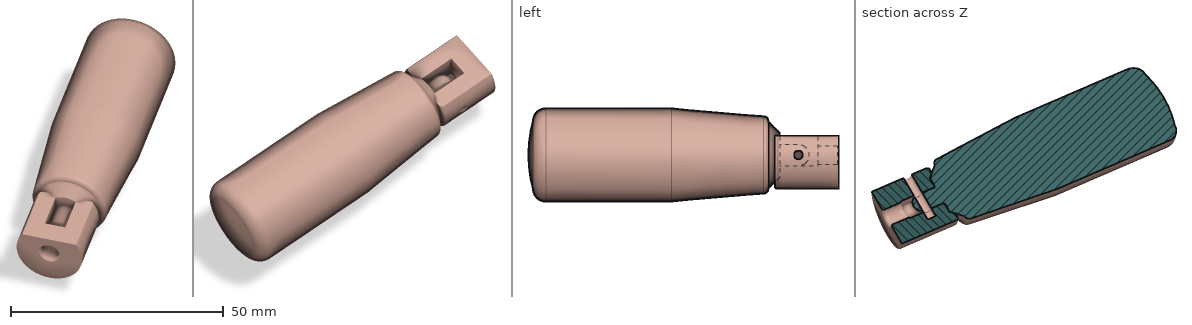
import cadquery as cq
import math

grip_diameter = 22.0
grip_radius = grip_diameter / 2
overall_length = 73.0
dome_edge_radius = 7.95
dome_height = 1.1
shoulder_y = 68.85
taper_start_y = 39.4
rim_y = 16.5
rim_rounding = 1.3
cone_tip_y = 13.9
cone_tip_radius = 5.2
cone_base_radius = cone_tip_radius + rim_y - cone_tip_y
stem_radius = 2.5
pivot_y = 9.5

bracket_diameter = 16.0
bracket_radius = bracket_diameter / 2
bracket_length = 15.05
bracket_fillet = 0.65
flat_z = 4.5
slot_end_y = 5.0
slot_width = 2 * stem_radius
bore_radius = 2.2
bore_chamfer = 0.4
cross_hole_radius = 1.0
cross_hole_depth_past_stem = 2.2


def cylinder_along_y(radius, start_y, end_y):
    return cq.Workplane("XZ", origin=(0, start_y, 0)).circle(radius).extrude(start_y - end_y)


def rim_point(angle):
    """Point on the rim rounding, with the angle measured from +X."""
    return (
        cone_base_radius + rim_rounding * math.cos(angle),
        rim_y + rim_rounding * (1 + math.sin(angle)),
    )


def make_grip():
    taper_x = grip_radius - cone_base_radius
    taper_y = taper_start_y - rim_y - rim_rounding
    taper_angle = math.atan2(taper_y, taper_x) - math.acos(rim_rounding / math.hypot(taper_x, taper_y))
    rim_mid_angle = (taper_angle - math.pi / 2) / 2

    dome_edge_y = overall_length - dome_height
    round_radius = grip_radius - dome_edge_radius
    diagonal = math.sqrt(0.5)
    round_mid = (
        dome_edge_radius + round_radius * diagonal,
        shoulder_y + (dome_edge_y - shoulder_y) * diagonal,
    )
    dome_radius = (dome_edge_radius**2 + dome_height**2) / (2 * dome_height)
    dome_mid_x = dome_edge_radius / 2
    dome_mid_y = overall_length - dome_radius + math.sqrt(dome_radius**2 - dome_mid_x**2)
    body = (
        cq.Workplane("XY")
        .moveTo(0, cone_tip_y)
        .lineTo(cone_tip_radius, cone_tip_y)
        .lineTo(cone_base_radius, rim_y)
        .threePointArc(rim_point(rim_mid_angle), rim_point(taper_angle))
        .lineTo(grip_radius, taper_start_y)
        .lineTo(grip_radius, shoulder_y)
        .threePointArc(round_mid, (dome_edge_radius, dome_edge_y))
        .threePointArc((dome_mid_x, dome_mid_y), (0, overall_length))
        .close()
        .revolve(360, (0, 0, 0), (0, 1, 0))
    )
    stem = cylinder_along_y(stem_radius, pivot_y, cone_tip_y)
    ball = cq.Workplane("XY").sphere(stem_radius).translate((0, pivot_y, 0))
    return body.union(stem.union(ball))


def make_bracket(grip, cross_hole):
    body = cylinder_along_y(bracket_radius, 0, bracket_length)
    body = body.faces(">Y").edges().fillet(bracket_fillet)

    flat_waste = (
        cq.Workplane("XY", origin=(0, 0, flat_z))
        .rect(2 * bracket_radius, 2 * bracket_length)
        .extrude(bracket_radius)
    )

    slot = cq.Workplane("XY").box(
        slot_width,
        bracket_length - slot_end_y,
        flat_z + stem_radius,
        centered=(True, False, False),
    ).translate((0, slot_end_y, -stem_radius))

    bore = cylinder_along_y(bore_radius, 0, slot_end_y)
    body = body.cut(flat_waste).cut(bore)
    body = body.faces("<Y").edges(cq.selectors.RadiusNthSelector(0)).chamfer(bore_chamfer)

    return body.cut(slot).cut(grip).cut(cross_hole)


def make_cross_hole():
    """Pivot hole from the -X side, through one cheek and the stem, blind in the other cheek."""
    return (
        cq.Workplane("YZ", origin=(-bracket_radius, pivot_y, 0))
        .circle(cross_hole_radius)
        .extrude(bracket_radius + stem_radius + cross_hole_depth_past_stem)
    )


cross_hole = make_cross_hole()
plain_grip = make_grip()
bracket = make_bracket(plain_grip, cross_hole)
grip = plain_grip.cut(cross_hole)

result = cq.Compound.makeCompound([grip.val(), bracket.val()])